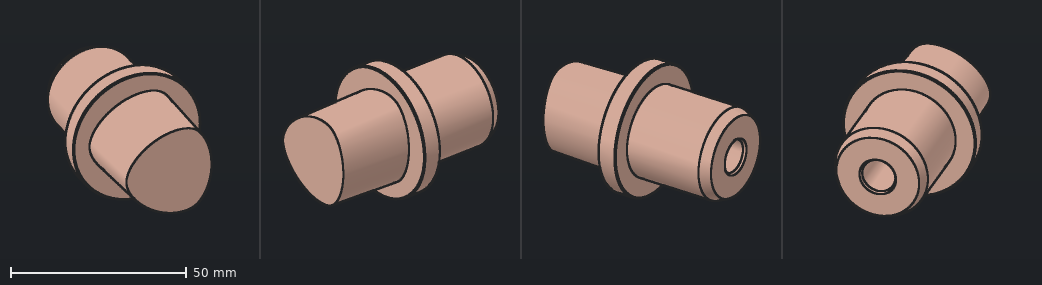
import cadquery as cq
import math

total_length = 58.0
flange_start = 28.0
flange_width = 6.0
flange_end = flange_start + flange_width

shank_diameter = 28.0
lead_in_length = 3.3
lead_in_depth = 1.5

flange_diameter = 40.0
flange_chamfer = 0.3

spigot_base_diameter = shank_diameter
spigot_taper = 1 / 20
lobe_height = 0.9
outline_steps = 72
spigot_length = total_length - flange_end
spigot_end_diameter = spigot_base_diameter - spigot_taper * spigot_length

bore_diameter = 10.0
bore_mouth_diameter = 11.0
bore_mouth_depth = 0.85
bore_depth = 23.2


def turned_x(profile):
    """Revolve an (x, radius) outline about the X axis."""
    return cq.Workplane("XY").polyline(profile).close().revolve(360, (0, 0), (1, 0))


def make_shank():
    radius = shank_diameter / 2
    return turned_x([
        (0, 0),
        (0, radius - lead_in_depth),
        (lead_in_length, radius),
        (flange_start, radius),
        (flange_start, 0),
    ])


def make_flange():
    disc = cq.Workplane("YZ", origin=(flange_start, 0, 0)).circle(flange_diameter / 2).extrude(flange_width)
    return disc.edges().chamfer(flange_chamfer)


def lobed_section(x, mean_diameter):
    """Closed three-lobed outline at x, whose tangent lies at mean radius - lobe_height * cos(3 * angle)."""
    mean_radius = mean_diameter / 2

    def outline_point(step):
        angle = 2 * math.pi * step / outline_steps
        y = mean_radius * math.cos(angle) - lobe_height * (2 * math.cos(2 * angle) - math.cos(4 * angle))
        z = mean_radius * math.sin(angle) + lobe_height * (2 * math.sin(2 * angle) + math.sin(4 * angle))
        return y, z

    points = [outline_point(step) for step in range(outline_steps)]
    plane = cq.Workplane("YZ", origin=(x, 0, 0))
    return plane.spline(points, periodic=True).wire().val()


def make_spigot():
    base = lobed_section(flange_end, spigot_base_diameter)
    end = lobed_section(total_length, spigot_end_diameter)
    return cq.Workplane(cq.Solid.makeLoft([base, end], True))


def make_bore():
    bore_radius = bore_diameter / 2
    return turned_x([
        (0, 0),
        (0, bore_mouth_diameter / 2),
        (bore_mouth_depth, bore_radius),
        (bore_depth, bore_radius),
        (bore_depth, 0),
    ])


result = make_shank().union(make_flange()).union(make_spigot()).cut(make_bore())